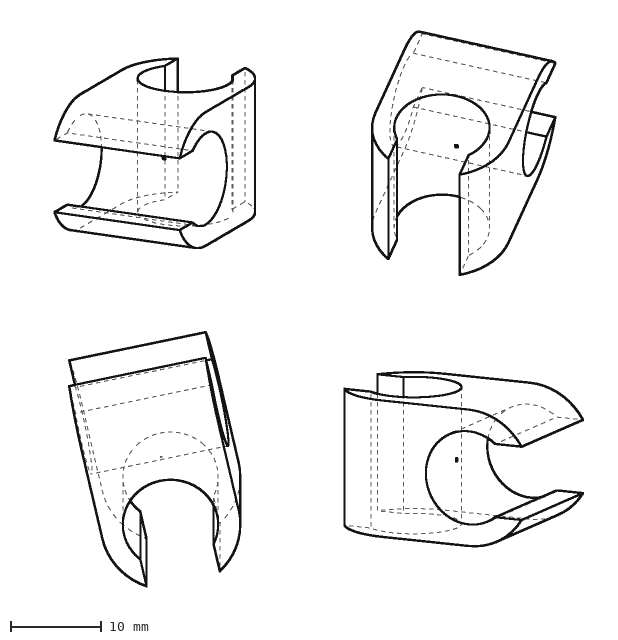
import cadquery as cq
import math

length = 23.5
width = 15.4
mouth_width = 8.25
window_radius = 0.19

outer_radius = width / 2
tip_reach = math.sqrt(outer_radius**2 - (mouth_width / 2) ** 2)
axis_offset = length / 2 - tip_reach
bore_radius = axis_offset + window_radius**2 / (4 * axis_offset)


def clip_envelope():
    """Block with one end rounded about the +Y bore axis (parallel to Z)."""
    rounded_end = (
        cq.Workplane("XY").center(0, axis_offset).circle(outer_radius).extrude(width / 2, both=True)
    )
    block_length = length / 2 + axis_offset
    block = cq.Workplane("XY").box(width, block_length, width)
    block = block.translate((0, axis_offset - block_length / 2, 0))
    return block.union(rounded_end)


def clip_opening():
    """Bore along Z plus the mouth that opens it toward +Y."""
    bore = cq.Workplane("XY").center(0, axis_offset).circle(bore_radius).extrude(width, both=True)
    mouth = cq.Workplane("XY").box(mouth_width, outer_radius, 2 * width)
    mouth = mouth.translate((0, axis_offset + outer_radius / 2, 0))
    return bore.union(mouth)


def to_other_clip(shape):
    """Turn a +Y clip shape into its -Y partner, whose bore is parallel to X."""
    flipped = shape.rotate((0, 0, 0), (0, 0, 1), 180)
    return flipped.rotate((0, 0, 0), (0, 1, 0), 90)


envelope = clip_envelope()
opening = clip_opening()

body = envelope.intersect(to_other_clip(envelope))
result = body.cut(opening).cut(to_other_clip(opening))